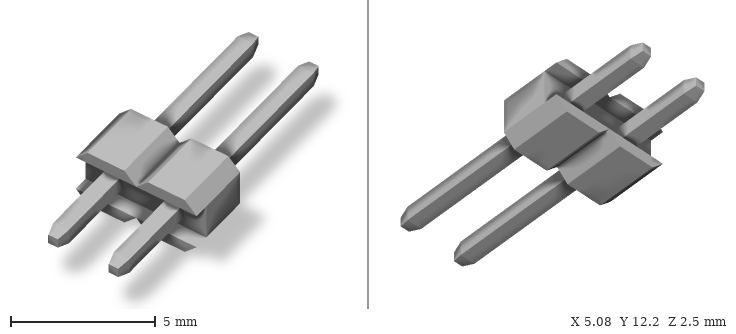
import cadquery as cq

pin_count = 2
pitch = 2.54

pin_length = 12.15
pin_side = 0.65
tip_side = 0.4
tip_length = 0.49

housing_width = pin_count * pitch
housing_height = 2.5
corner_cut = 0.5
back_y = -0.23
housing_depth = 2.64
channel_depth = 0.6
front_y = back_y - housing_depth
channel_height = housing_height - 2 * corner_cut

pin_positions = [(i - (pin_count - 1) / 2) * pitch for i in range(pin_count)]


def make_cell(center_x):
    """Block around one pin with its four long edges chamfered."""
    return (
        cq.Workplane("XY")
        .box(pitch, housing_depth, housing_height)
        .edges("|Y")
        .chamfer(corner_cut)
        .translate((center_x, front_y + housing_depth / 2, 0))
    )


def make_pin(center_x):
    """Square pin with a tapered tip at each end."""
    shaft_length = pin_length - 2 * tip_length
    pin = cq.Workplane("XY").box(pin_side, shaft_length, pin_side)
    for end_face in (">Y", "<Y"):
        tip = (
            pin.faces(end_face)
            .workplane()
            .rect(pin_side, pin_side)
            .workplane(offset=tip_length)
            .rect(tip_side, tip_side)
            .loft(combine=False)
        )
        pin = pin.union(tip)
    return pin.translate((center_x, 0, 0))


def make_housing():
    """Joined cells with a channel across the front and a square hole for each pin."""
    housing = make_cell(pin_positions[0])
    for center_x in pin_positions[1:]:
        housing = housing.union(make_cell(center_x))

    channel = cq.Workplane("XY").box(housing_width, channel_depth, channel_height)
    housing = housing.cut(channel.translate((0, front_y + channel_depth / 2, 0)))

    for center_x in pin_positions:
        pin_hole = cq.Workplane("XY").box(pin_side, pin_length, pin_side)
        housing = housing.cut(pin_hole.translate((center_x, 0, 0)))
    return housing


housing = make_housing()
pins = [make_pin(center_x) for center_x in pin_positions]

result = cq.Compound.makeCompound([housing.solids().val(), *[pin.solids().val() for pin in pins]])